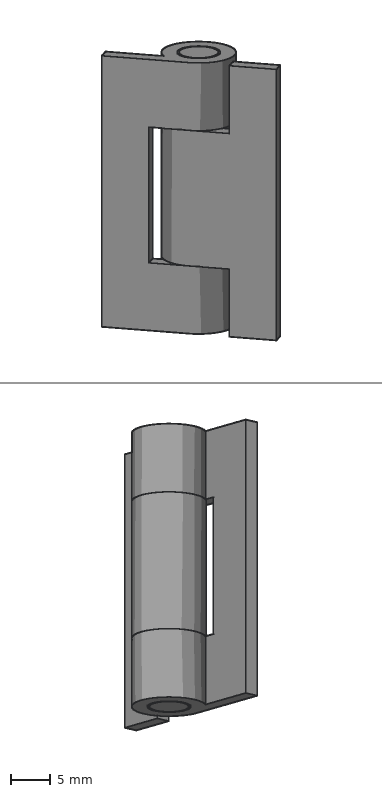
import cadquery as cq

hinge_height = 36.0
hinge_width = 23.0
plate_thickness = 2.0
barrel_diameter = 9.5
pin_diameter = 5.0
barrel_clearance = 0.55

barrel_radius = barrel_diameter / 2
bore_diameter = barrel_diameter - 2 * plate_thickness
leaf_reach = hinge_width / 2
plate_center_y = -barrel_radius + plate_thickness / 2
notch_reach = barrel_radius + barrel_clearance
middle_knuckle_height = hinge_height / 2
end_knuckle_height = (hinge_height - middle_knuckle_height) / 2

end_knuckles = [
    (0, end_knuckle_height),
    (hinge_height - end_knuckle_height, end_knuckle_height),
]
middle_knuckles = [(end_knuckle_height, middle_knuckle_height)]


def plate(side, inner_reach, bottom, height):
    """Flat plate from inner_reach to the leaf edge; side is -1 for -X or +1 for +X."""
    width = leaf_reach - inner_reach
    center_x = side * (inner_reach + width / 2)
    return (
        cq.Workplane("XY", origin=(center_x, plate_center_y, bottom))
        .rect(width, plate_thickness)
        .extrude(height)
    )


def cylinder(diameter, bottom, height):
    """Cylinder on the hinge axis."""
    return cq.Workplane("XY", origin=(0, 0, bottom)).circle(diameter / 2).extrude(height)


def leaf(side, knuckles):
    """Leaf plate with a bored knuckle, tangent to the plate front, at each span."""
    body = plate(side, notch_reach, 0, hinge_height)
    for bottom, length in knuckles:
        body = body.union(plate(side, 0, bottom, length))
        body = body.union(cylinder(barrel_diameter, bottom, length))
    return body.cut(cylinder(bore_diameter, 0, hinge_height)).clean()


outer_leaf = leaf(-1, end_knuckles)

inner_leaf = leaf(1, middle_knuckles)

pin = cylinder(pin_diameter, 0, hinge_height)

result = cq.Compound.makeCompound([outer_leaf.val(), inner_leaf.val(), pin.val()])